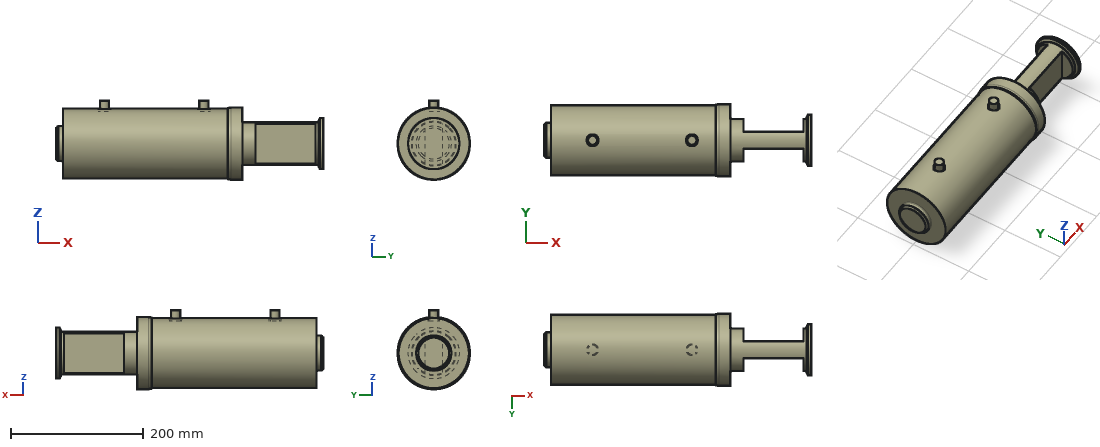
import cadquery as cq

total_length = 403.5
barrel_start = 10.0
collar_start = 259.0
collar_full_start = 263.8
collar_end = 281.0
flats_start = 301.3
flats_end = 391.0
flange_start = 396.0
flange_rim_start = 398.5

boss_radius = 26.5
barrel_radius = 106.0 / 2
collar_radius = 109.3 / 2
stem_radius = 65.0 / 2
flange_radius = 38.7
flange_root_radius = 34.0

boss_chamfer = 3.2
collar_lip = 1.0
root_fillet = 1.0

flats_thickness = 26.0

overall_height = 119.5
pin_radius = 14.0 / 2
port_radius = 9.0
pin_top = overall_height - collar_radius
port_floor = 48.5
pin_positions = [73.0, 223.0]


def turned_profile():
    """Revolve the stepped outline, from end boss to flange, about the X axis."""
    outline = (
        cq.Workplane("XZ")
        .lineTo(0, boss_radius - boss_chamfer)
        .lineTo(boss_chamfer, boss_radius)
        .lineTo(barrel_start - root_fillet, boss_radius)
        .radiusArc((barrel_start, boss_radius + root_fillet), -root_fillet)
        .lineTo(barrel_start, barrel_radius)
        .lineTo(collar_start, barrel_radius)
        .lineTo(collar_start + collar_lip, barrel_radius + collar_lip)
        .lineTo(collar_full_start, collar_radius)
        .lineTo(collar_end, collar_radius)
        .lineTo(collar_end, stem_radius + root_fillet)
        .radiusArc((collar_end + root_fillet, stem_radius), -root_fillet)
        .lineTo(flange_start - root_fillet, stem_radius)
        .radiusArc((flange_start, stem_radius + root_fillet), -root_fillet)
        .lineTo(flange_start, flange_root_radius)
        .lineTo(flange_rim_start, flange_radius)
        .lineTo(total_length, flange_radius)
        .lineTo(total_length, 0)
        .close()
    )
    return outline.revolve(360, (0, 0, 0), (1, 0, 0))


def stem_flat_cutter(side):
    """Block that removes the stem beyond one flat; side is +1 or -1 along Y."""
    depth = collar_radius
    mid_x = (flats_start + flats_end) / 2
    mid_y = side * (flats_thickness + depth) / 2
    block = cq.Workplane("XY").box(flats_end - flats_start, depth, 2 * collar_radius)
    return block.translate((mid_x, mid_y, 0))


def upright_cylinder(x, radius):
    """Vertical cylinder from the port floor to the pin top."""
    return (
        cq.Workplane("XY", origin=(x, 0, port_floor))
        .circle(radius)
        .extrude(pin_top - port_floor)
    )


def make_housing():
    """Turned housing with two stem flats and a blind port for each pin."""
    housing = turned_profile()
    for side in (-1, 1):
        housing = housing.cut(stem_flat_cutter(side))
    for x in pin_positions:
        housing = housing.cut(upright_cylinder(x, port_radius))
    return housing


def make_pin(x):
    """Solid pin standing on the floor of its port."""
    return upright_cylinder(x, pin_radius)


housing = make_housing()
pins = [make_pin(x).val() for x in pin_positions]

result = cq.Compound.makeCompound([housing.val(), *pins])